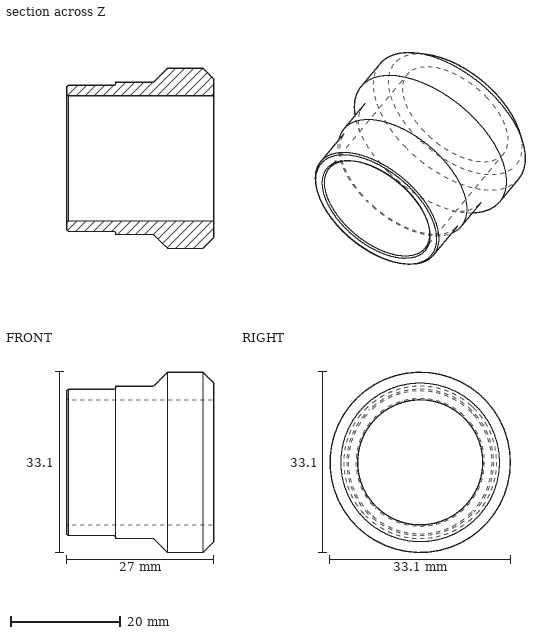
import cadquery as cq

bore_diameter = 22.9
spigot_diameter = 26.9
neck_diameter = 28.0
collar_diameter = 33.1

total_length = 27.0
spigot_length = 9.0
collar_start = 18.5

spigot_chamfer = 0.3
collar_chamfer = 2.0
corner_fillet = 0.4

bore_radius = bore_diameter / 2
spigot_radius = spigot_diameter / 2
neck_radius = neck_diameter / 2
collar_radius = collar_diameter / 2

cone_start = collar_start - (collar_radius - neck_radius)


def make_sleeve():
    """Revolve the wall section, drawn as (x, radius), about the X axis."""
    section = [
        (0, bore_radius + spigot_chamfer),
        (0, spigot_radius - spigot_chamfer),
        (spigot_chamfer, spigot_radius),
        (spigot_length, spigot_radius),
        (spigot_length, neck_radius),
        (cone_start, neck_radius),
        (collar_start, collar_radius),
        (total_length - collar_chamfer, collar_radius),
        (total_length, collar_radius - collar_chamfer),
        (total_length, bore_radius),
        (spigot_chamfer, bore_radius),
    ]
    return cq.Workplane("XY").polyline(section).close().revolve(360, (0, 0, 0), (1, 0, 0))


def circle_at(body, x, radius):
    """Return the circular edges of the body with the given station and radius."""
    tolerance = 1e-4

    def matches(edge):
        return (
            edge.geomType() == "CIRCLE"
            and abs(edge.Center().x - x) < tolerance
            and abs(edge.radius() - radius) < tolerance
        )

    return body.edges().filter(matches)


def round_inner_corners(body):
    """Round the concave corners at the spigot shoulder and the foot of the cone."""
    for x, radius in [(spigot_length, spigot_radius), (cone_start, neck_radius)]:
        body = circle_at(body, x, radius).fillet(corner_fillet)
    return body


result = round_inner_corners(make_sleeve())